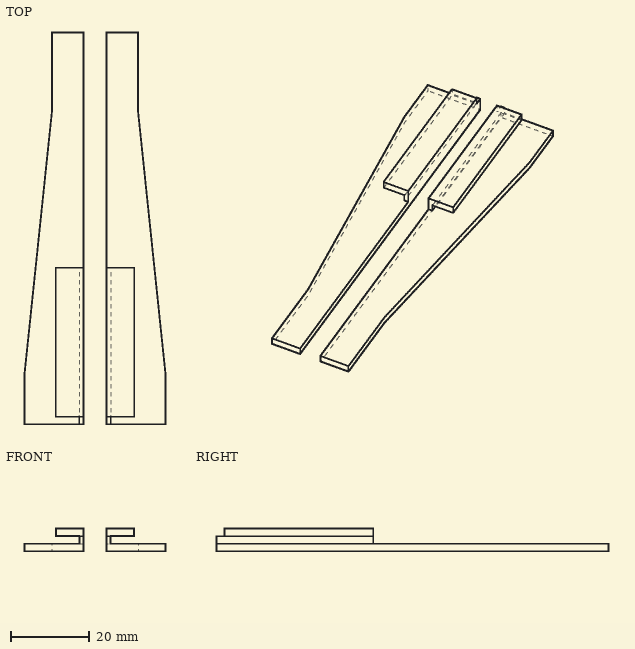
import cadquery as cq

total_width = 36.0
length = 100.0
height = 5.9

gap = 5.8
plate_thickness = 2.0
tip_width = 8.1
tip_length = 20.0
root_length = 13.0

wall_thickness = 1.1
wall_length = 40.0
lip_width = 7.1
lip_thickness = 2.0
lip_setback = 2.0

inner_x = gap / 2
outer_x = total_width / 2
tip_x = inner_x + tip_width
wall_height = height - lip_thickness


def make_plate():
    """Flat arm, wide at the front and tapering to a narrow tip."""
    outline = [
        (inner_x, 0),
        (outer_x, 0),
        (outer_x, root_length),
        (tip_x, length - tip_length),
        (tip_x, length),
        (inner_x, length),
    ]
    return cq.Workplane("XY").polyline(outline).close().extrude(plate_thickness)


def make_wall():
    """Upright wall along the inner edge, from the bottom face up to the lip."""
    return (
        cq.Workplane("XY")
        .box(wall_thickness, wall_length, wall_height, centered=False)
        .translate((inner_x, 0, 0))
    )


def make_lip():
    """Lip on top of the wall, overhanging the plate and set back from its front end."""
    return (
        cq.Workplane("XY")
        .box(lip_width, wall_length - lip_setback, lip_thickness, centered=False)
        .translate((inner_x, lip_setback, wall_height))
    )


def make_right_arm():
    """Arm on the +X side, as one solid."""
    return make_plate().union(make_wall()).union(make_lip())


def make_arms():
    """Mirrored pair of separate arms, one on each side of the X = 0 plane."""
    arms = []
    for mirrored in (False, True):
        arm = make_right_arm()
        if mirrored:
            arm = arm.mirror("YZ")
        arms.append(arm.val())
    return arms


result = cq.Compound.makeCompound(make_arms())